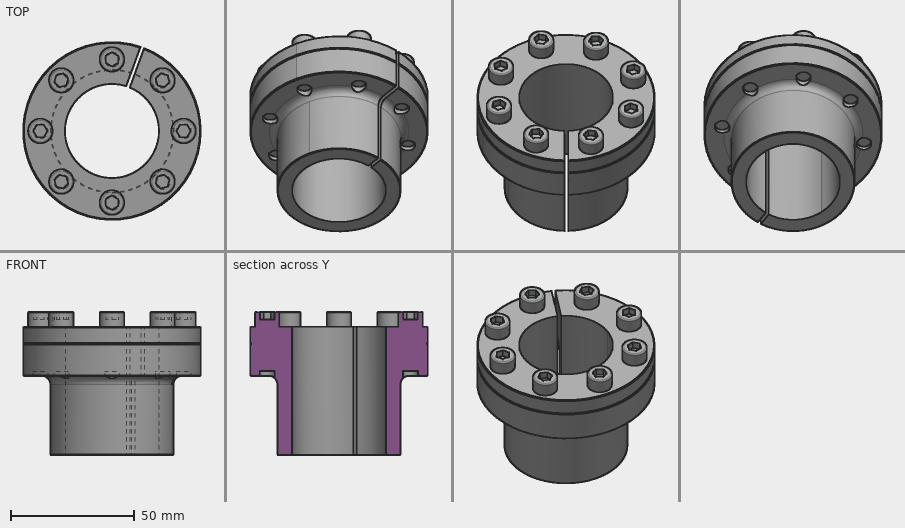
import cadquery as cq
import math

bore_diameter = 38.0
sleeve_diameter = 50.0
flange_diameter = 72.0
flange_bottom = 32.0
flange_top = 52.0
neck_fillet = 3.2
sleeve_end_chamfer = 0.3
flange_edge_chamfer = 0.4

groove_center_z = 45.05
groove_width = 0.75
groove_depth = 0.4

slit_width = 1.5
slit_angle = 70.0

screw_count = 8
screw_circle_radius = 29.0
head_diameter = 10.0
head_height = 6.0
head_edge_radius = 0.6
socket_across_flats = 5.0
socket_depth = 3.0

screw_hole_diameter = 6.0
screw_hole_depth = 2.0


def make_body():
    """Revolve the wall section of the sleeve, flange and clamping ring."""
    bore_radius = bore_diameter / 2
    sleeve_radius = sleeve_diameter / 2
    flange_radius = flange_diameter / 2
    neck_start_z = flange_bottom - neck_fillet
    neck_end_radius = sleeve_radius + neck_fillet
    neck_mid_offset = neck_fillet * math.sin(math.radians(45))
    section = (
        cq.Workplane("XZ")
        .moveTo(bore_radius, 0)
        .lineTo(sleeve_radius - sleeve_end_chamfer, 0)
        .lineTo(sleeve_radius, sleeve_end_chamfer)
        .lineTo(sleeve_radius, neck_start_z)
        .threePointArc(
            (neck_end_radius - neck_mid_offset, neck_start_z + neck_mid_offset),
            (neck_end_radius, flange_bottom),
        )
        .lineTo(flange_radius - flange_edge_chamfer, flange_bottom)
        .lineTo(flange_radius, flange_bottom + flange_edge_chamfer)
        .lineTo(flange_radius, groove_center_z - groove_width / 2)
        .lineTo(flange_radius - groove_depth, groove_center_z)
        .lineTo(flange_radius, groove_center_z + groove_width / 2)
        .lineTo(flange_radius, flange_top - flange_edge_chamfer)
        .lineTo(flange_radius - flange_edge_chamfer, flange_top)
        .lineTo(bore_radius, flange_top)
        .close()
    )
    return section.revolve(360, (0, 0, 0), (0, 1, 0))


def make_slit():
    """Radial slot from the axis outwards, through the full height."""
    slit = cq.Workplane("XY").box(flange_diameter, slit_width, flange_top, centered=(False, True, False))
    return slit.rotate((0, 0, 0), (0, 0, 1), slit_angle)


def make_screw_head():
    """Head at angle zero, with one corner of its hexagon socket pointing outwards."""
    socket_across_corners = socket_across_flats / math.cos(math.radians(30))
    return (
        cq.Workplane("XY", origin=(screw_circle_radius, 0, flange_top))
        .circle(head_diameter / 2)
        .extrude(head_height)
        .faces(">Z")
        .edges()
        .fillet(head_edge_radius)
        .faces(">Z")
        .workplane()
        .polygon(6, socket_across_corners)
        .cutBlind(-socket_depth)
    )


def make_screw_hole():
    """Hole at angle zero; it also cuts the neck fillet under the flange."""
    return (
        cq.Workplane("XY", origin=(screw_circle_radius, 0, flange_bottom - neck_fillet))
        .circle(screw_hole_diameter / 2)
        .extrude(neck_fillet + screw_hole_depth)
    )


result = make_body().cut(make_slit())
for index in range(screw_count):
    screw_angle = index * 360 / screw_count
    hole = make_screw_hole().rotate((0, 0, 0), (0, 0, 1), screw_angle)
    head = make_screw_head().rotate((0, 0, 0), (0, 0, 1), screw_angle)
    result = result.cut(hole).union(head)